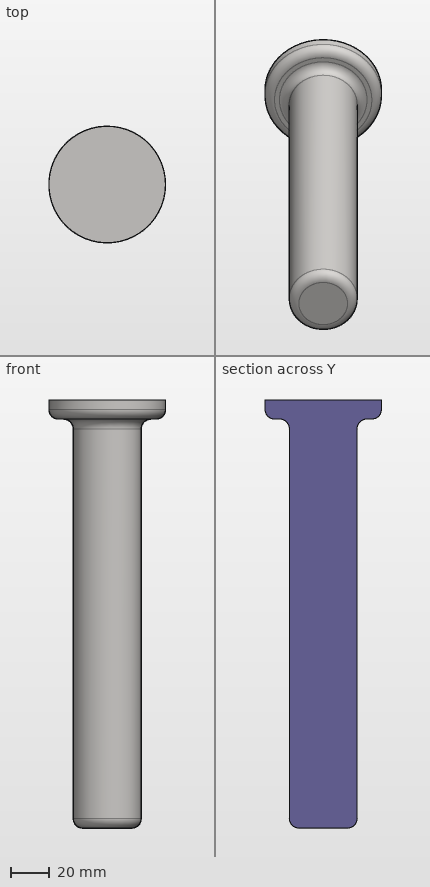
import cadquery as cq

total_length = 220.0
head_diameter = 60.0
head_thickness = 10.0
shank_diameter = 35.0
edge_radius = 5.0

shank_length = total_length - head_thickness


def make_pin():
    """Round shank standing on Z = 0 with a flat-topped head above it."""
    shank = cq.Workplane("XY").circle(shank_diameter / 2).extrude(shank_length)
    head = (
        cq.Workplane("XY")
        .workplane(offset=shank_length)
        .circle(head_diameter / 2)
        .extrude(head_thickness)
    )
    return shank.union(head)


def round_edges(pin):
    """Round every circular edge except the sharp rim on top of the head."""
    return pin.edges("%CIRCLE").edges("not(>Z)").fillet(edge_radius)


result = round_edges(make_pin())